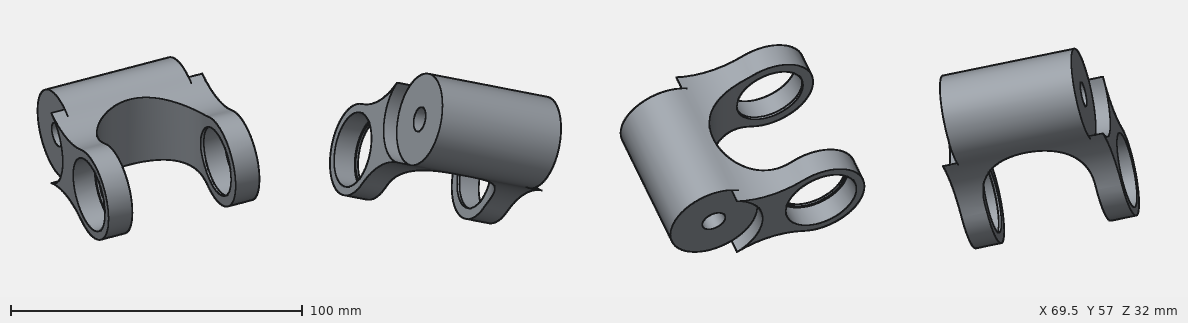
import cadquery as cq
import math

END_RADIUS = 16.0
CENTRE_DISTANCE = 37.55
BARREL_LENGTH = 46.7
BARREL_BORE = 8.5

FORK_WIDTH = 57.0
ARM_THICKNESS = 9.05
WAIST_RADIUS = 30.0
SLOT_RADIUS = FORK_WIDTH / 2 - ARM_THICKNESS
SLOT_CENTRE_X = 28.5

EYE_BORE = 26.0
LIP_BORE = 24.5
LIP_THICKNESS = 1.0


def cylinder_along_y(x, diameter, y_start, y_end):
    """Cylinder with its axis parallel to Y at height zero."""
    return (
        cq.Workplane("XZ", origin=(x, y_start, 0))
        .circle(diameter / 2)
        .extrude(y_start - y_end)
    )


def make_fork_blank():
    """Waisted link whose concave flanks are tangent to both end circles."""
    half_distance = CENTRE_DISTANCE / 2
    flank_centre_z = math.sqrt((END_RADIUS + WAIST_RADIUS) ** 2 - half_distance**2)
    waist_z = flank_centre_z - WAIST_RADIUS
    share = END_RADIUS / (END_RADIUS + WAIST_RADIUS)
    tangent_x = half_distance * share
    tangent_z = flank_centre_z * share
    eye_tangent_x = CENTRE_DISTANCE - tangent_x
    return (
        cq.Workplane("XZ", origin=(0, FORK_WIDTH / 2, 0))
        .moveTo(tangent_x, tangent_z)
        .threePointArc((half_distance, waist_z), (eye_tangent_x, tangent_z))
        .threePointArc((CENTRE_DISTANCE + END_RADIUS, 0), (eye_tangent_x, -tangent_z))
        .threePointArc((half_distance, -waist_z), (tangent_x, -tangent_z))
        .threePointArc((END_RADIUS, 0), (tangent_x, tangent_z))
        .close()
        .extrude(FORK_WIDTH)
    )


def make_slot():
    """Round-bottomed opening between the arms, cut through in Z."""
    slot_end_x = CENTRE_DISTANCE + 2 * END_RADIUS
    return (
        cq.Workplane("XY", origin=(0, 0, -END_RADIUS))
        .moveTo(slot_end_x, SLOT_RADIUS)
        .lineTo(SLOT_CENTRE_X, SLOT_RADIUS)
        .threePointArc((SLOT_CENTRE_X - SLOT_RADIUS, 0), (SLOT_CENTRE_X, -SLOT_RADIUS))
        .lineTo(slot_end_x, -SLOT_RADIUS)
        .close()
        .extrude(2 * END_RADIUS)
    )


fork = make_fork_blank().cut(make_slot())
fork = fork.cut(cylinder_along_y(CENTRE_DISTANCE, LIP_BORE, -FORK_WIDTH / 2, FORK_WIDTH / 2))
for side in (-1, 1):
    lip_y = side * (SLOT_RADIUS + LIP_THICKNESS)
    fork = fork.cut(cylinder_along_y(CENTRE_DISTANCE, EYE_BORE, lip_y, side * FORK_WIDTH / 2))

barrel = cylinder_along_y(0, 2 * END_RADIUS, -BARREL_LENGTH / 2, BARREL_LENGTH / 2)
bore = cylinder_along_y(0, BARREL_BORE, -BARREL_LENGTH / 2, BARREL_LENGTH / 2)

result = fork.union(barrel.cut(make_slot())).cut(bore)